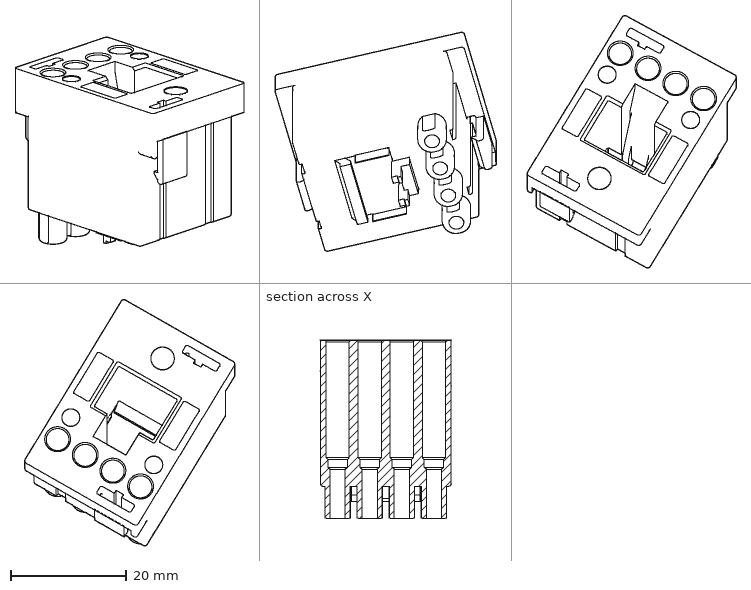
import cadquery as cq


FLANGE_LENGTH = 34.0
DEPTH = 22.8
TOP_Z = 25.43
FLANGE_BOTTOM_Z = 20.05
LIP_BOTTOM_Z = 17.05
LIP_THICKNESS = 1.15
BODY_LENGTH = 27.75
EDGE_RADIUS = 0.55

GROOVE_DEPTH = 0.6
LATCH_GROOVE_WIDTH = 1.5
LATCH_Y = -5.78
PLAIN_GROOVE_WIDTH = 1.9
PLAIN_GROOVE_Y = 5.7

LATCH_WIDTH = 5.9
LATCH_THICKNESS = 1.35
LATCH_INSET = 0.17
LATCH_BOTTOM_Z = 11.55
LATCH_ROUND_HEIGHT = 0.68
BARB_REACH = 0.9
BARB_TOP_Z = 13.55
BARB_EDGE_HEIGHT = 0.27
SLOT_WIDTH = 6.9
SLOT_RADIUS = 0.35

PIN_COUNT = 4
PIN_PITCH = 5.58
PIN_X = -10.5
PIN_DIAMETER = 4.95
PIN_FLAT_WIDTH = 4.42
PIN_LENGTH = 5.58
PIN_END_RADIUS = 0.68
BORE_DIAMETER = 3.95
BORE_DEPTH = 20.4
BORE_MOUTH_DIAMETER = 4.5
BORE_MOUTH_DEPTH = 0.27
BORE_SEAT_DIAMETER = 3.3
BORE_SEAT_LENGTH = 1.35
PIN_HOLE_DIAMETER = 2.55

OPENING_LEFT = -2.1
OPENING_RIGHT = 6.3
OPENING_WIDTH = 11.9
OPENING_CHAMFER = 0.55
OPENING_RADIUS = 0.27

POCKET_LENGTH = 8.57
POCKET_WIDTH = 3.2
POCKET_X = 2.3
POCKET_Y = 8.67
POCKET_DEPTH = 10.2
POCKET_RADIUS = 0.3

RECESS_LEFT = -6.95
RECESS_WIDTH = 6.6
ARM_WIDTH = 6.0
ARM_LEFT = -5.05
ARM_TOP_Z = 23.8
ARM_STEP_Z = -2.05
PRONG_LEFT = -3.5
PRONG_RIGHT = -1.8
PRONG_NOTCH_X = -2.85
PRONG_GAP = 3.47
PRONG_Z = -5.1

RIM_BOTTOM_Z = -2.62
RIM_LEFT = -2.18
RIM_RIGHT = 3.9
RIM_THICKNESS = 0.15
FINGER_LEFT = 4.75
FINGER_RIGHT = 6.65
FINGER_BEND_Z = -1.5
FINGER_LEAN = 0.64

MARK_DEPTH = 0.17
GATE_MARK_DIAMETER = 4.08
GATE_MARK_X = 11.25
NUMBER_MARK_DIAMETER = 3.13
NUMBER_MARK_X = -6.0

PIN_YS = [(i - (PIN_COUNT - 1) / 2) * PIN_PITCH for i in range(PIN_COUNT)]


def box(x0, x1, y0, y1, z0, z1):
    """Axis-aligned box between the given limits."""
    return cq.Workplane("XY").box(x1 - x0, y1 - y0, z1 - z0, centered=False).translate((x0, y0, z0))


def prism_xz(points, y0, y1):
    """Closed XZ outline extruded from y0 to y1."""
    return cq.Workplane("XZ", origin=(0, y1, 0)).polyline(points).close().extrude(y1 - y0)


def both_ends(solid):
    """A feature together with its mirror image at the other X end."""
    return solid.union(solid.mirror("YZ"))


def at_each_pin(solid):
    """Copies of a solid at every pin position."""
    copies = cq.Workplane("XY")
    for y in PIN_YS:
        copies = copies.add(solid.translate((PIN_X, y, 0)))
    return copies.combine()


def rounded_plate(z0):
    """Flange footprint with rounded corners, from z0 up to the top face."""
    half = FLANGE_LENGTH / 2
    return box(-half, half, -DEPTH / 2, DEPTH / 2, z0, TOP_Z).edges("|Z").fillet(EDGE_RADIUS)


def make_housing():
    half = BODY_LENGTH / 2
    body = box(-half, half, -DEPTH / 2, DEPTH / 2, 0, FLANGE_BOTTOM_Z)
    body = body.edges("|Z or <Z").fillet(EDGE_RADIUS)
    front = -DEPTH / 2
    slab = box(-FLANGE_LENGTH, FLANGE_LENGTH, front, front + LIP_THICKNESS, LIP_BOTTOM_Z, TOP_Z)
    slab = slab.edges("|X and <Z").fillet(EDGE_RADIUS)
    lip = rounded_plate(LIP_BOTTOM_Z).intersect(slab)
    return rounded_plate(FLANGE_BOTTOM_Z).union(body).union(lip)


def make_grooves():
    """Latch groove runs through the flange, the plain one stops under it."""
    wall = BODY_LENGTH / 2
    floor = wall - GROOVE_DEPTH
    grooves = cq.Workplane("XY")
    for y, width, top_z in (
        (LATCH_Y, LATCH_GROOVE_WIDTH, TOP_Z),
        (PLAIN_GROOVE_Y, PLAIN_GROOVE_WIDTH, FLANGE_BOTTOM_Z),
    ):
        grooves = grooves.add(box(-wall, -floor, y - width / 2, y + width / 2, 0, top_z))
    return both_ends(grooves.combine())


def make_latch_slots():
    outer = -FLANGE_LENGTH / 2 + LATCH_INSET + LATCH_THICKNESS
    half = SLOT_WIDTH / 2
    slot = box(outer, -BODY_LENGTH / 2, LATCH_Y - half, LATCH_Y + half, FLANGE_BOTTOM_Z, TOP_Z)
    return both_ends(slot.edges("|Z").fillet(SLOT_RADIUS))


def make_latches():
    outer = -FLANGE_LENGTH / 2 + LATCH_INSET
    inner = outer + LATCH_THICKNESS
    middle = (outer + inner) / 2
    round_z = LATCH_BOTTOM_Z + LATCH_ROUND_HEIGHT
    latch = (
        cq.Workplane("XZ", origin=(0, LATCH_Y + LATCH_WIDTH / 2, 0))
        .moveTo(outer, FLANGE_BOTTOM_Z)
        .lineTo(inner, FLANGE_BOTTOM_Z)
        .lineTo(inner, BARB_TOP_Z)
        .lineTo(inner + BARB_REACH, BARB_TOP_Z)
        .lineTo(inner + BARB_REACH, BARB_TOP_Z - BARB_EDGE_HEIGHT)
        .lineTo(inner, round_z)
        .threePointArc((middle, LATCH_BOTTOM_Z), (outer, round_z))
        .close()
        .extrude(LATCH_WIDTH)
    )
    return both_ends(latch)


def make_pins():
    pin = cq.Workplane("XY").circle(PIN_DIAMETER / 2).extrude(-PIN_LENGTH)
    pin = pin.faces("<Z").edges().fillet(PIN_END_RADIUS)
    flats = box(-PIN_DIAMETER, PIN_DIAMETER, -PIN_FLAT_WIDTH / 2, PIN_FLAT_WIDTH / 2, -PIN_LENGTH, 0)
    pin = pin.intersect(flats)
    return at_each_pin(pin)


def make_pin_bores():
    """Stepped bore with a flared mouth, narrowing in two cones to the through hole."""
    bore_z = TOP_Z - BORE_DEPTH
    seat_z = bore_z - (BORE_DIAMETER - BORE_SEAT_DIAMETER) / 2
    funnel_z = seat_z - BORE_SEAT_LENGTH
    hole_z = funnel_z - (BORE_SEAT_DIAMETER - PIN_HOLE_DIAMETER) / 2
    profile = [
        (0, TOP_Z),
        (BORE_MOUTH_DIAMETER / 2, TOP_Z),
        (BORE_DIAMETER / 2, TOP_Z - BORE_MOUTH_DEPTH),
        (BORE_DIAMETER / 2, bore_z),
        (BORE_SEAT_DIAMETER / 2, seat_z),
        (BORE_SEAT_DIAMETER / 2, funnel_z),
        (PIN_HOLE_DIAMETER / 2, hole_z),
        (PIN_HOLE_DIAMETER / 2, -PIN_LENGTH),
        (0, -PIN_LENGTH),
    ]
    bore = cq.Workplane("XZ").polyline(profile).close().revolve(360, (0, 0), (0, 1))
    return at_each_pin(bore)


def make_opening():
    """Through opening with a chamfered mouth, joined to the spring arm's recess."""
    length = OPENING_RIGHT - OPENING_LEFT
    center = ((OPENING_LEFT + OPENING_RIGHT) / 2, 0)
    outline = cq.Sketch().rect(length, OPENING_WIDTH).vertices().fillet(OPENING_RADIUS)
    flare = 2 * OPENING_CHAMFER
    rim = cq.Sketch().rect(length + flare, OPENING_WIDTH + flare).vertices().fillet(OPENING_RADIUS)
    opening = cq.Workplane("XY").center(*center).placeSketch(outline).extrude(TOP_Z)
    mouth = (
        cq.Workplane("XY", origin=(*center, TOP_Z - OPENING_CHAMFER))
        .placeSketch(outline, rim.moved(cq.Location((0, 0, OPENING_CHAMFER))))
        .loft()
    )
    recess = box(RECESS_LEFT, center[0], -RECESS_WIDTH / 2, RECESS_WIDTH / 2, 0, TOP_Z)
    return opening.union(mouth).union(recess)


def make_spring_arm():
    """Sloping arm in the recess, ending in two prongs below the body."""
    profile = [
        (RECESS_LEFT, ARM_TOP_Z),
        (PRONG_RIGHT, 0),
        (PRONG_RIGHT, PRONG_Z),
        (PRONG_NOTCH_X, PRONG_Z),
        (PRONG_NOTCH_X, -PIN_LENGTH),
        (PRONG_LEFT, -PIN_LENGTH),
        (PRONG_LEFT, ARM_STEP_Z),
        (ARM_LEFT, ARM_STEP_Z),
        (ARM_LEFT, 0),
        (RECESS_LEFT, 0),
    ]
    arm = prism_xz(profile, -RECESS_WIDTH / 2, RECESS_WIDTH / 2)
    for y0, y1 in ((-RECESS_WIDTH / 2, -ARM_WIDTH / 2), (ARM_WIDTH / 2, RECESS_WIDTH / 2)):
        arm = arm.cut(box(ARM_LEFT, PRONG_RIGHT, y0, y1, -PIN_LENGTH, ARM_TOP_Z))
    half_gap = PRONG_GAP / 2
    notch = box(PRONG_NOTCH_X, PRONG_RIGHT, -half_gap, half_gap, -PIN_LENGTH, ARM_TOP_Z)
    gap = box(PRONG_LEFT, PRONG_RIGHT, -half_gap, half_gap, -PIN_LENGTH, ARM_STEP_Z)
    return arm.cut(notch).cut(gap)


def make_pockets():
    """Pair of blind pockets with rounded corners and floor edges."""
    pocket = box(
        POCKET_X - POCKET_LENGTH / 2, POCKET_X + POCKET_LENGTH / 2,
        POCKET_Y - POCKET_WIDTH / 2, POCKET_Y + POCKET_WIDTH / 2,
        TOP_Z - POCKET_DEPTH, TOP_Z,
    ).edges("|Z or <Z").fillet(POCKET_RADIUS)
    return pocket.union(pocket.mirror("XZ"))


def make_rim_tabs():
    """Thin tabs that continue the opening's long walls below the body."""
    inner = OPENING_WIDTH / 2
    tab = box(RIM_LEFT, RIM_RIGHT, inner, inner + RIM_THICKNESS, RIM_BOTTOM_Z, EDGE_RADIUS)
    return tab.union(tab.mirror("XZ"))


def make_finger():
    """Spring finger that slopes inward from the opening's right wall, then drops straight."""
    root_z = FINGER_BEND_Z + (OPENING_RIGHT - FINGER_LEFT) / FINGER_LEAN
    root_right = FINGER_RIGHT + (root_z - FINGER_BEND_Z) * FINGER_LEAN
    profile = [
        (OPENING_RIGHT, root_z),
        (FINGER_LEFT, FINGER_BEND_Z),
        (FINGER_LEFT, RIM_BOTTOM_Z),
        (FINGER_RIGHT, RIM_BOTTOM_Z),
        (FINGER_RIGHT, FINGER_BEND_Z),
        (root_right, root_z),
    ]
    return prism_xz(profile, -OPENING_WIDTH / 2, OPENING_WIDTH / 2)


def make_marks():
    """Shallow round marks: one gate mark and one beside each outermost pin."""
    face = cq.Workplane("XY", origin=(0, 0, TOP_Z))
    gate = face.center(GATE_MARK_X, 0).circle(GATE_MARK_DIAMETER / 2).extrude(-MARK_DEPTH)
    number_points = [(NUMBER_MARK_X, PIN_YS[0]), (NUMBER_MARK_X, PIN_YS[-1])]
    numbers = face.pushPoints(number_points).circle(NUMBER_MARK_DIAMETER / 2).extrude(-MARK_DEPTH)
    return gate.union(numbers)


result = make_housing().cut(make_grooves()).cut(make_latch_slots()).union(make_latches())
result = result.cut(make_opening()).union(make_spring_arm())
result = result.union(make_rim_tabs()).union(make_finger())
result = result.cut(make_pockets()).cut(make_marks())
result = result.union(make_pins()).cut(make_pin_bores())